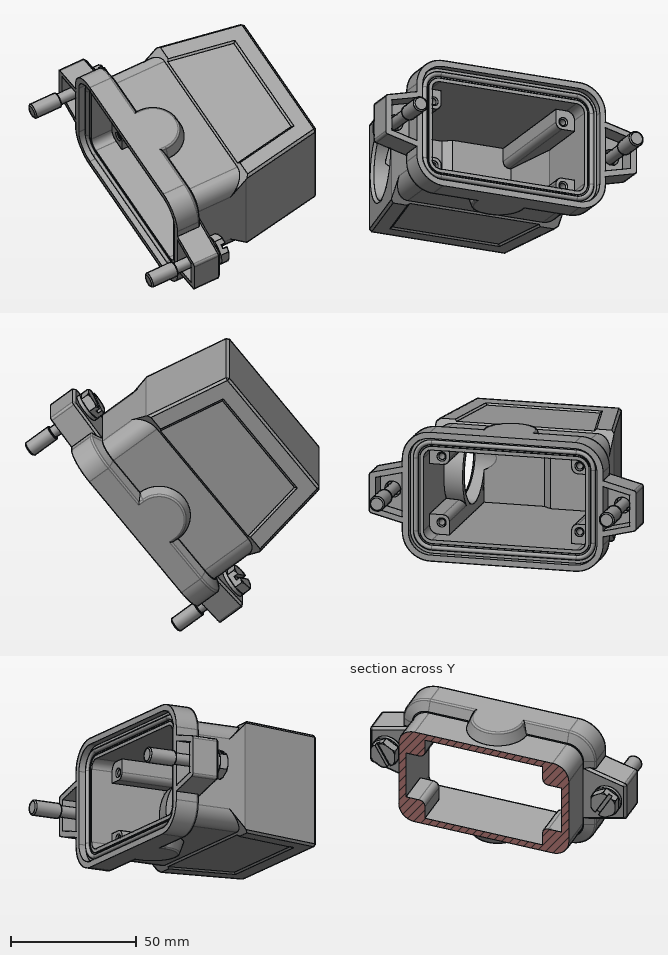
import cadquery as cq
import math


corner_x = 29.8
corner_z = 15.0
flange_radius = 11.5
channel_outer_radius = 9.0
gasket_outer_radius = 7.7
gasket_inner_radius = 5.7
lip_radius = 5.1
cavity_radius = 3.5

flange_height = 12.0
bevel_height = 2.0
bevel_rounding = 0.9
bevel_width = 4.5
channel_depth = 3.0
lip_depth = 2.8
gasket_crest = 1.8

body_half_x = 36.6
body_half_z = 21.5
body_radius = 7.0
head_half_z = 22.9
taper_start = 33.9
hood_top = 70.0
side_angle = 10.5
head_chamfer = 1.0
undercut_depth = 8.8

recess_depth = 0.7
recess_margin = 7.3
recess_wall_run = 0.9
recess_end = 62.8

grip_base_radius = 12.4
grip_top_radius = 10.6
grip_rounding = 0.9
grip_foot = 5.5

half_length = 55.0
lug_tip_half_z = 8.1
lug_slope = 0.25
lug_wall = 2.4
lug_end_wall = 2.6
lug_floor = 7.5
lug_rounding = 1.2
lug_chamfer = 1.0

screw_x = 47.3
clearance_radius = 3.3
washer_radius = 5.9
washer_thickness = 1.5
head_height = 3.7
head_flats = 10.3
head_corner_chamfer = 0.5
slot_width = 1.6
slot_depth = 1.8
slot_angle = 60
shank_radius = 2.3
thread_radius = 3.1
thread_start = -4.6
screw_tip = -16.6
tip_chamfer = 0.5
thread_start_chamfer = 0.3

cavity_taper_start = 35.6
cavity_end = 61.7
deep_end = 64.5
step_top_x = -0.3
step_foot_x = 3.0

post_inner_x = 25.2
post_inner_z = 10.3
post_front = 12.0
post_rounding = 2.6
post_hole_x = 28.4
post_hole_z = 13.5
post_hole_radius = 1.3
post_hole_chamfer = 0.5
post_hole_depth = 11.0

entry_y = 51.6
entry_radius = 15.1
entry_chamfer = 1.2
collar_radius = 17.8

side_slope = math.tan(math.radians(side_angle))
cavity_half_x = corner_x + cavity_radius
cavity_half_z = corner_z + cavity_radius
flange_half_z = corner_z + flange_radius


def side_x(y):
    """Half width of the tapered head at height y."""
    return body_half_x - (y - taper_start) * side_slope


def prism_y(half_x, half_z, y_start, y_end):
    """Box centred on the Y axis."""
    base = cq.Workplane("XZ", origin=(0, y_end, 0))
    return base.rect(2 * half_x, 2 * half_z).extrude(y_end - y_start)


def loop_prism(radius, y_start, y_end):
    """Prism with the outline offset by radius from the shared corner centres."""
    block = prism_y(corner_x + radius, corner_z + radius, y_start, y_end)
    return block.edges("|Y").fillet(radius)


def cylinder_y(x, z, radius, y_start, y_end):
    """Cylinder parallel to Y."""
    base = cq.Workplane("XZ", origin=(x, y_end, z))
    return base.circle(radius).extrude(y_end - y_start)


def countersink(hole_radius, depth, centre, inward):
    """45 degree cone that narrows to the hole radius."""
    return cq.Workplane(cq.Solid.makeCone(hole_radius + depth, hole_radius, depth, centre, inward))


def both_sides(solid, plane):
    """A solid together with its mirror image."""
    return solid.union(solid.mirror(plane))


def make_flange():
    side_top = flange_height - bevel_height
    outline = cq.Sketch().rect(2 * (corner_x + flange_radius), 2 * flange_half_z)
    outline = outline.vertices().fillet(flange_radius)
    bevel_angle = math.degrees(math.atan2(bevel_width, bevel_height))
    bevel = (
        cq.Workplane("XZ", origin=(0, side_top, 0))
        .placeSketch(outline)
        .extrude(-bevel_height, taper=bevel_angle)
    )
    flange = loop_prism(flange_radius, 0, side_top).union(bevel)
    above_base = cq.selectors.BoxSelector(
        (-half_length, side_top / 2, -half_length),
        (half_length, side_top + bevel_height / 2, half_length),
        boundingbox=True,
    )
    return flange.edges(above_base).fillet(bevel_rounding)


def make_body():
    body = prism_y(body_half_x, body_half_z, 0, taper_start)
    return body.edges("|Y").fillet(body_radius)


def make_head():
    foot = taper_start - undercut_depth
    outline = [
        (-body_half_x, foot),
        (body_half_x, foot),
        (body_half_x, taper_start),
        (side_x(hood_top), hood_top),
        (-side_x(hood_top), hood_top),
        (-body_half_x, taper_start),
    ]
    slab = (
        cq.Workplane("XY", origin=(0, 0, -head_half_z))
        .polyline(outline)
        .close()
        .extrude(2 * head_half_z)
    )
    slab = slab.faces(">Z or <Z or >Y").edges("not <Y").chamfer(head_chamfer)

    undercut_start = taper_start + head_half_z - body_half_z
    foot_half_z = body_half_z - undercut_depth
    section = [
        (foot, foot_half_z),
        (undercut_start, head_half_z),
        (hood_top, head_half_z),
        (hood_top, -head_half_z),
        (undercut_start, -head_half_z),
        (foot, -foot_half_z),
    ]
    envelope = cq.Workplane("YZ").polyline(section).close().extrude(body_half_x, both=True)
    return slab.intersect(envelope)


def make_label_recess():
    def outline(margin, end):
        return [
            (-side_x(taper_start) + margin, taper_start),
            (side_x(taper_start) - margin, taper_start),
            (side_x(end) - margin, end),
            (-side_x(end) + margin, end),
        ]

    floor_outline = outline(recess_margin + recess_wall_run, recess_end - recess_wall_run)
    recess = (
        cq.Workplane("XY", origin=(0, 0, head_half_z - recess_depth))
        .polyline(floor_outline)
        .close()
        .workplane(offset=recess_depth)
        .polyline(outline(recess_margin, recess_end))
        .close()
        .loft(ruled=True)
    )
    return both_sides(recess, "XY")


def make_grips():
    """Round-ended pads on the flange, tapering outwards."""
    height = flange_half_z - body_half_z
    draft = math.degrees(math.atan2(grip_base_radius - grip_top_radius, height))
    grip = (
        cq.Workplane("XY", origin=(0, 0, body_half_z))
        .moveTo(-grip_base_radius, grip_foot)
        .lineTo(grip_base_radius, grip_foot)
        .lineTo(grip_base_radius, flange_height)
        .threePointArc((0, flange_height + grip_base_radius), (-grip_base_radius, flange_height))
        .close()
        .extrude(height, taper=draft)
    )
    grip = grip.faces(">Z").edges("not <Y").fillet(grip_rounding)
    return both_sides(grip, "XY")


def lug_outline(tip_x, root_x, inset):
    def half_z(x):
        return lug_tip_half_z + (half_length - x) * lug_slope - inset

    return [
        (root_x, -half_z(root_x)),
        (tip_x, -half_z(tip_x)),
        (tip_x, half_z(tip_x)),
        (root_x, half_z(root_x)),
    ]


def make_lugs():
    lug = (
        cq.Workplane("XZ", origin=(0, flange_height, 0))
        .polyline(lug_outline(half_length, body_half_x - 1.1, 0))
        .close()
        .extrude(flange_height)
    )
    lug = lug.edges("|Y and >X").fillet(lug_rounding)
    lug = lug.faces(">Y").edges("not <X").chamfer(lug_chamfer)
    return both_sides(lug, "YZ")


def make_lug_pockets():
    pocket = (
        cq.Workplane("XZ", origin=(0, lug_floor, 0))
        .polyline(lug_outline(half_length - lug_end_wall, corner_x + flange_radius, lug_wall))
        .close()
        .extrude(lug_floor)
    )
    hole = cylinder_y(screw_x, 0, clearance_radius, lug_floor, flange_height)
    return both_sides(pocket.union(hole), "YZ")


def make_screws():
    washer_top = flange_height + washer_thickness
    head_top = washer_top + head_height
    hex_radius = head_flats / math.sqrt(3)

    head = (
        cq.Workplane("XZ", origin=(screw_x, head_top, 0))
        .transformed(rotate=(0, 0, 30))
        .polygon(6, 2 * hex_radius)
        .extrude(head_height)
    )
    rounding = cylinder_y(screw_x, 0, hex_radius, washer_top, head_top)
    head = head.intersect(rounding.faces(">Y").chamfer(head_corner_chamfer))
    slot = (
        cq.Workplane("XZ", origin=(screw_x, head_top, 0))
        .transformed(rotate=(0, 0, slot_angle))
        .rect(2 * head_flats, slot_width)
        .extrude(slot_depth)
    )
    washer = cylinder_y(screw_x, 0, washer_radius, flange_height, washer_top)
    shank = cylinder_y(screw_x, 0, shank_radius, thread_start, washer_top)
    thread = cylinder_y(screw_x, 0, thread_radius, screw_tip, thread_start)
    thread = thread.faces("<Y").chamfer(tip_chamfer)
    thread = thread.faces(">Y").chamfer(thread_start_chamfer)
    screw = head.cut(slot).union(washer).union(shank).union(thread)
    return both_sides(screw, "YZ")


def make_channel():
    """Gasket channel and the set-back of the inner lip."""
    channel = loop_prism(channel_outer_radius, 0, channel_depth)
    lip = loop_prism(lip_radius, lip_depth, channel_depth)
    return channel.cut(lip)


def make_gasket():
    """Gasket with a half-round crest."""
    crest_radius = (gasket_outer_radius - gasket_inner_radius) / 2
    crest_axis_y = gasket_crest + crest_radius
    web = loop_prism(gasket_outer_radius, crest_axis_y, channel_depth)
    web = web.cut(loop_prism(gasket_inner_radius, crest_axis_y, channel_depth))

    path_radius = gasket_inner_radius + crest_radius
    path_block = prism_y(corner_x + path_radius, corner_z + path_radius, crest_axis_y, channel_depth)
    path = path_block.edges("|Y").fillet(path_radius).faces("<Y").wires().val()
    crest = (
        cq.Workplane("YZ", origin=(0, crest_axis_y, corner_z + path_radius))
        .circle(crest_radius)
        .sweep(cq.Workplane(path))
    )
    return web.union(crest)


def make_cavity():
    def wall_x(y):
        return cavity_half_x - (y - cavity_taper_start) * side_slope

    outline = [
        (-cavity_half_x, 0),
        (cavity_half_x, 0),
        (cavity_half_x, cavity_taper_start),
        (wall_x(cavity_end), cavity_end),
        (step_foot_x, cavity_end),
        (step_top_x, deep_end),
        (-wall_x(deep_end), deep_end),
        (-cavity_half_x, cavity_taper_start),
    ]
    room = (
        cq.Workplane("XY", origin=(0, 0, -cavity_half_z))
        .polyline(outline)
        .close()
        .extrude(2 * cavity_half_z)
    )
    return room.intersect(loop_prism(cavity_radius, 0, hood_top))


def make_posts():
    size_x = cavity_half_x - post_inner_x
    size_z = cavity_half_z - post_inner_z
    post = (
        cq.Workplane("XZ", origin=(post_inner_x + size_x / 2, hood_top, post_inner_z + size_z / 2))
        .rect(size_x, size_z)
        .extrude(hood_top - post_front)
    )
    post = post.edges("|Y and <X and <Z").fillet(post_rounding)
    hole = cylinder_y(post_hole_x, post_hole_z, post_hole_radius, post_front, post_front + post_hole_depth)
    mouth_centre = cq.Vector(post_hole_x, post_front, post_hole_z)
    mouth = countersink(post_hole_radius, post_hole_chamfer, mouth_centre, cq.Vector(0, 1, 0))
    post = post.cut(hole).cut(mouth)
    return both_sides(both_sides(post, "XY"), "YZ")


entry_centre = cq.Vector(-side_x(entry_y), entry_y, 0)
entry_inward = cq.Vector(math.cos(math.radians(side_angle)), -math.sin(math.radians(side_angle)), 0)


def entry_cylinder(radius, length):
    """Cylinder along the cable entry axis, starting at the outer side face."""
    return cq.Workplane(cq.Solid.makeCylinder(radius, length, entry_centre, entry_inward))


def make_entry_collar():
    collar = entry_cylinder(collar_radius, body_half_x)
    keep = prism_y(body_half_x, head_half_z, 0, hood_top).translate((-body_half_x - post_inner_x, 0, 0))
    return collar.intersect(keep)


def make_entry_bore():
    bore = entry_cylinder(entry_radius, body_half_x - step_foot_x)
    mouth = countersink(entry_radius, entry_chamfer, entry_centre, entry_inward)
    return bore.union(mouth)


shell = make_flange().union(make_body()).union(make_head()).cut(make_label_recess())
shell = shell.union(make_grips()).union(make_lugs()).cut(make_lug_pockets())

fittings = make_posts().union(make_entry_collar())
room = make_cavity().cut(fittings)

housing = shell.cut(room).cut(make_channel()).cut(make_entry_bore())
result = housing.union(make_gasket()).union(make_screws())